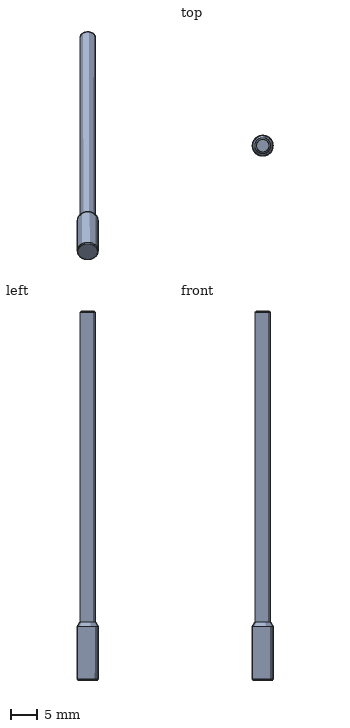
import cadquery as cq

total_length = 70.0
head_diameter = 4.0
shank_diameter = 3.0

head_length = 11.05
cone_height = 0.85
head_chamfer_width = 0.15
head_chamfer_height = 0.3

shank_chamfer_width = 0.315
shank_chamfer_height = 0.3


def make_head():
    """Revolved head, standing on the XY plane and centred on Z."""
    outer_radius = head_diameter / 2
    return (
        cq.Workplane("XZ")
        .lineTo(outer_radius - head_chamfer_width, 0)
        .lineTo(outer_radius, head_chamfer_height)
        .lineTo(outer_radius, head_length - cone_height)
        .lineTo(shank_diameter / 2, head_length)
        .lineTo(0, head_length)
        .close()
        .revolve(360, (0, 0, 0), (0, 1, 0))
    )


def make_shank():
    """Round shank that rests on the top face of the head."""
    return (
        cq.Workplane("XY", origin=(0, 0, head_length))
        .circle(shank_diameter / 2)
        .extrude(total_length - head_length)
        .faces(">Z")
        .chamfer(shank_chamfer_height, shank_chamfer_width)
    )


head = make_head()
shank = make_shank()

result = cq.Compound.makeCompound([head.val(), shank.val()])